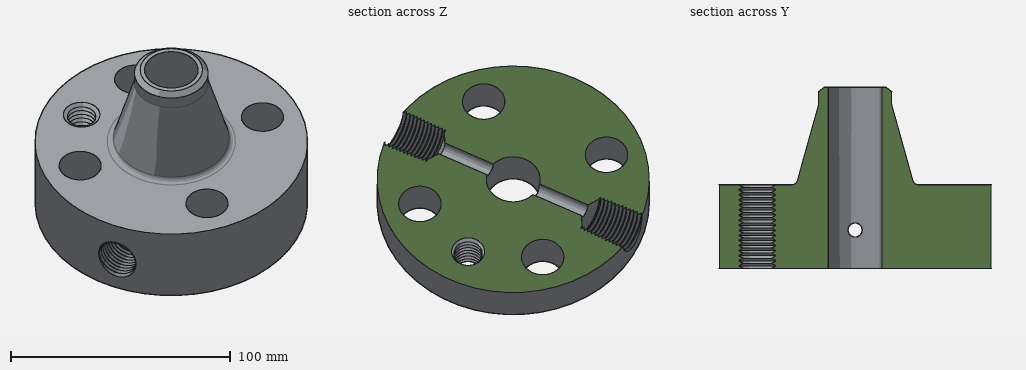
import cadquery as cq
import math

flange_diameter = 124.0
flange_thickness = 38.2
overall_height = 82.5

bore_diameter = 24.3
neck_diameter = 33.5
neck_straight_length = 6.0
weld_root_width = 2.0
weld_bevel_height = 2.0
cone_base_radius = 26.3
hub_fillet_radius = 3.0
hub_fillet_height = 2.2

bolt_circle_radius = 44.5
bolt_hole_diameter = 19.1
bolt_count = 4
jack_major_radius = 8.3
jack_minor_radius = 6.5
jack_pitch = 2.3

tap_major_radius = 10.4
tap_minor_radius = 8.9
tap_pitch = 1.9
tap_turns = 12
tap_taper = 1 / 32
tap_drill_diameter = 6.3
drill_point_angle = 118.0
tap_height = 17.6

flange_radius = flange_diameter / 2
neck_radius = neck_diameter / 2
bore_radius = bore_diameter / 2


def make_body():
    """Flange and weld neck turned as one solid, with the bore open."""
    bevel_base = overall_height - weld_bevel_height
    cone_top = bevel_base - neck_straight_length
    cone_base = flange_thickness + hub_fillet_height
    body = (
        cq.Workplane("XZ")
        .moveTo(bore_radius, 0)
        .lineTo(flange_radius, 0)
        .lineTo(flange_radius, flange_thickness)
        .lineTo(cone_base_radius, flange_thickness)
        .lineTo(cone_base_radius, cone_base)
        .lineTo(neck_radius, cone_top)
        .lineTo(neck_radius, bevel_base)
        .lineTo(bore_radius + weld_root_width, overall_height)
        .lineTo(bore_radius, overall_height)
        .close()
        .revolve(360, (0, 0, 0), (0, 1, 0))
    )
    return body.union(make_hub_fillet(cone_base, cone_top))


def make_hub_fillet(cone_base, cone_top):
    """Concave ring blending the flange face into the cone."""
    cone_angle = math.atan2(cone_base_radius - neck_radius, cone_top - cone_base)
    toe_radius = cone_base_radius + hub_fillet_radius * math.cos(cone_angle)
    middle_angle = (math.pi / 2 - cone_angle) / 2
    middle_radius = toe_radius - hub_fillet_radius * math.sin(middle_angle)
    middle_height = flange_thickness + hub_fillet_radius * (1 - math.cos(middle_angle))
    return (
        cq.Workplane("XZ")
        .moveTo(neck_radius, flange_thickness)
        .lineTo(toe_radius, flange_thickness)
        .threePointArc((middle_radius, middle_height), (cone_base_radius, cone_base))
        .lineTo(neck_radius, cone_base)
        .close()
        .revolve(360, (0, 0, 0), (0, 1, 0))
    )


def make_thread_cutter(major_radius, minor_radius, pitch, turns, taper, point_length):
    """Stacked V grooves going down from a mouth at the origin, ended by a cone."""
    outline = [(0, 0), (major_radius, 0)]
    for turn in range(turns):
        crest_depth = (turn + 0.5) * pitch
        root_depth = (turn + 1) * pitch
        outline.append((minor_radius - taper * crest_depth, -crest_depth))
        outline.append((major_radius - taper * root_depth, -root_depth))
    end_depth = turns * pitch
    outline.append((minor_radius - taper * end_depth, -end_depth))
    outline.append((0, -end_depth - point_length))
    return cq.Workplane("XZ").polyline(outline).close().revolve(360, (0, 0, 0), (0, 1, 0))


def make_bolt_holes():
    return (
        cq.Workplane("XY")
        .polarArray(bolt_circle_radius, 180 / bolt_count, 360, bolt_count)
        .circle(bolt_hole_diameter / 2)
        .extrude(flange_thickness)
    )


def make_jack_hole():
    """Threaded hole running right through the flange."""
    turns = math.ceil(flange_thickness / jack_pitch)
    cutter = make_thread_cutter(jack_major_radius, jack_minor_radius, jack_pitch, turns, 0, 0)
    return cutter.translate((-bolt_circle_radius, 0, flange_thickness))


def make_pressure_taps():
    """Tapered threads on the -Y and +Y sides, joined through the bore by a small drill."""
    drill_radius = tap_minor_radius - tap_taper * tap_turns * tap_pitch
    point_length = drill_radius / math.tan(math.radians(drill_point_angle / 2))
    thread = make_thread_cutter(
        tap_major_radius, tap_minor_radius, tap_pitch, tap_turns, tap_taper, point_length
    ).translate((0, 0, flange_radius))
    taps = cq.Workplane("XZ").circle(tap_drill_diameter / 2).extrude(flange_radius, both=True)
    for side_angle in (90, -90):
        taps = taps.union(thread.rotate((0, 0, 0), (1, 0, 0), side_angle))
    return taps.translate((0, 0, tap_height))


result = make_body()
result = result.cut(make_bolt_holes())
result = result.cut(make_jack_hole())
result = result.cut(make_pressure_taps())